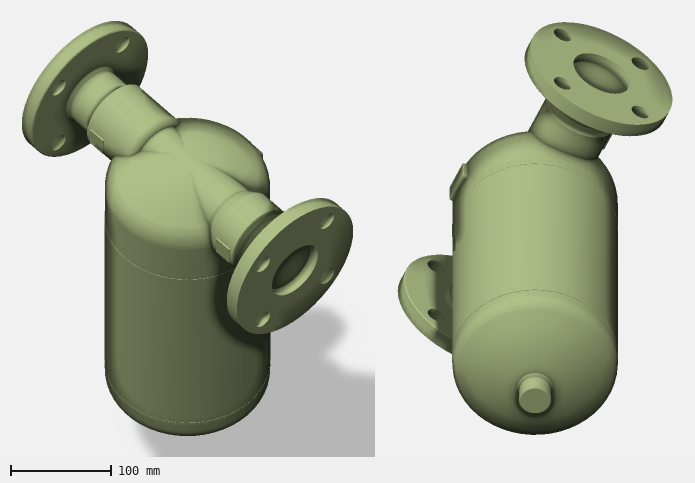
import cadquery as cq
import math

RUN_LENGTH = 324.0
PIPE_D = 60.5
SOCKET_D = 74.0
SOCKET_END = 111.0
SOCKET_BEVEL_LENGTH = 1.5
SOCKET_BEVEL_HEIGHT = 3.0
WELD_LENGTH = 4.0
WELD_HEIGHT = 3.0
INLET_SHOULDER_START = -53.5
INLET_SHOULDER_LENGTH = 9.0
OUTLET_CONE_START = 66.7
OUTLET_CONE_END = 79.7

FLANGE_D = 155.0
FLANGE_THICKNESS = 16.0
FLANGE_CHAMFER = 1.0
FLANGE_BORE_D = 61.1
PIPE_SETBACK = 11.0
BOLT_HOLE_D = 19.0
BOLT_CIRCLE_D = 120.0
BOLT_COUNT = 4
BOLT_START_ANGLE = 45.0

HEAD_D = 165.0
SHELL_D = 165.2
BEAD_D = 165.8
BEAD_WIDTH = 4.0
UPPER_BEAD_TOP = -60.0
LOWER_BEAD_TOP = -280.8
UPPER_CROWN_TOP = PIPE_D / 2
UPPER_CROWN_R = 120.0
UPPER_KNUCKLE_R = 26.0
LOWER_TANGENT_Z = -294.4
LOWER_CROWN_R = 112.0
LOWER_KNUCKLE_R = 19.0

NOZZLE_D = 32.0
NOZZLE_BOTTOM = -360.0
NOZZLE_CHAMFER = 1.0
NOZZLE_WELD = 2.0
NOZZLE_WELD_BOTTOM = -340.2

SOCKET_PAD_SIZE = 20.0
SOCKET_PAD_X = 95.0
SOCKET_PAD_RISE = 0.2
SOCKET_PAD_FACE = SOCKET_D / 2 + SOCKET_PAD_RISE
LABEL_PAD_WIDTH = 34.0
LABEL_PAD_HEIGHT = 22.8
LABEL_PAD_TOP = -14.6
LABEL_PAD_CORNER_R = 2.5
LABEL_PAD_CHAMFER = 0.8
OVERALL_DEPTH = 169.04
LABEL_PAD_FACE = OVERALL_DEPTH - BEAD_D / 2

PIPE_R = PIPE_D / 2
SOCKET_R = SOCKET_D / 2
HEAD_R = HEAD_D / 2


def dished_head(crown_r, knuckle_r):
    """Return the depth of a dished head and its knuckle and crown points as (radius, height).

    Heights are measured from the tangent line, where the knuckle meets the straight wall.
    """
    knuckle_center_r = HEAD_R - knuckle_r
    crown_below = math.sqrt((crown_r - knuckle_r) ** 2 - knuckle_center_r ** 2)
    depth = crown_r - crown_below
    joint_angle = math.atan2(crown_below, knuckle_center_r)

    def on_arc(center_r, center_z, radius, angle):
        return (center_r + radius * math.cos(angle), center_z + radius * math.sin(angle))

    knuckle_mid = on_arc(knuckle_center_r, 0, knuckle_r, joint_angle / 2)
    joint = on_arc(knuckle_center_r, 0, knuckle_r, joint_angle)
    crown_mid = on_arc(0, -crown_below, crown_r, (joint_angle + math.pi / 2) / 2)
    return depth, knuckle_mid, joint, crown_mid


def make_vessel():
    """Shell, both heads and both weld beads as one turned solid."""
    upper_depth, upper_knuckle, upper_joint, upper_crown = dished_head(UPPER_CROWN_R, UPPER_KNUCKLE_R)
    lower_depth, lower_knuckle, lower_joint, lower_crown = dished_head(LOWER_CROWN_R, LOWER_KNUCKLE_R)
    upper_tangent_z = UPPER_CROWN_TOP - upper_depth

    def upper(point):
        return (point[0], upper_tangent_z + point[1])

    def lower(point):
        return (point[0], LOWER_TANGENT_Z - point[1])

    profile = (
        cq.Workplane("XZ")
        .moveTo(0, UPPER_CROWN_TOP)
        .threePointArc(upper(upper_crown), upper(upper_joint))
        .threePointArc(upper(upper_knuckle), (HEAD_R, upper_tangent_z))
        .lineTo(HEAD_R, UPPER_BEAD_TOP)
        .lineTo(BEAD_D / 2, UPPER_BEAD_TOP)
        .lineTo(BEAD_D / 2, UPPER_BEAD_TOP - BEAD_WIDTH)
        .lineTo(SHELL_D / 2, UPPER_BEAD_TOP - BEAD_WIDTH)
        .lineTo(SHELL_D / 2, LOWER_BEAD_TOP)
        .lineTo(BEAD_D / 2, LOWER_BEAD_TOP)
        .lineTo(BEAD_D / 2, LOWER_BEAD_TOP - BEAD_WIDTH)
        .lineTo(HEAD_R, LOWER_BEAD_TOP - BEAD_WIDTH)
        .lineTo(HEAD_R, LOWER_TANGENT_Z)
        .threePointArc(lower(lower_knuckle), lower(lower_joint))
        .threePointArc(lower(lower_crown), (0, LOWER_TANGENT_Z - lower_depth))
        .close()
    )
    return profile.revolve(360, (0, 0, 0), (0, 1, 0))


def make_nozzle():
    """Drain stub below the vessel with its weld ring; it starts inside the lower head."""
    nozzle_r = NOZZLE_D / 2
    weld_r = nozzle_r + NOZZLE_WELD
    profile = (
        cq.Workplane("XZ")
        .moveTo(0, LOWER_TANGENT_Z)
        .lineTo(weld_r, LOWER_TANGENT_Z)
        .lineTo(weld_r, NOZZLE_WELD_BOTTOM + NOZZLE_WELD)
        .lineTo(nozzle_r, NOZZLE_WELD_BOTTOM)
        .lineTo(nozzle_r, NOZZLE_BOTTOM + NOZZLE_CHAMFER)
        .lineTo(nozzle_r - NOZZLE_CHAMFER, NOZZLE_BOTTOM)
        .lineTo(0, NOZZLE_BOTTOM)
        .close()
    )
    return profile.revolve(360, (0, 0, 0), (0, 1, 0))


def make_pipe_run():
    """Pipe, sockets and pipe welds as one solid turned about X."""
    pipe_end = RUN_LENGTH / 2 - PIPE_SETBACK
    flange_back = RUN_LENGTH / 2 - FLANGE_THICKNESS
    weld_r = PIPE_R + WELD_HEIGHT
    bevel_r = SOCKET_R - SOCKET_BEVEL_HEIGHT
    bevel_start = SOCKET_END - SOCKET_BEVEL_LENGTH
    shoulder_end = INLET_SHOULDER_START + INLET_SHOULDER_LENGTH
    shoulder_drop = SOCKET_R - PIPE_R
    shoulder_mid = (
        INLET_SHOULDER_START + INLET_SHOULDER_LENGTH * math.sin(math.pi / 4),
        SOCKET_R - shoulder_drop * (1 - math.cos(math.pi / 4)),
    )
    end_points = [
        (bevel_start, SOCKET_R),
        (SOCKET_END, bevel_r),
        (SOCKET_END, weld_r),
        (SOCKET_END + WELD_LENGTH, PIPE_R),
        (flange_back - WELD_LENGTH, PIPE_R),
        (flange_back, weld_r),
        (flange_back, PIPE_R),
        (pipe_end, PIPE_R),
        (pipe_end, 0),
    ]
    inlet_points = [(-x, r) for x, r in reversed(end_points)]
    profile = (
        cq.Workplane("XY")
        .polyline(inlet_points)
        .lineTo(INLET_SHOULDER_START, SOCKET_R)
        .threePointArc(shoulder_mid, (shoulder_end, PIPE_R))
        .lineTo(OUTLET_CONE_START, PIPE_R)
        .lineTo(OUTLET_CONE_END, SOCKET_R)
    )
    for point in end_points:
        profile = profile.lineTo(*point)
    return profile.close().revolve(360, (0, 0, 0), (1, 0, 0))


def make_flange(side):
    """Bored and drilled flange at the +X end (side = 1) or the -X end (side = -1)."""
    face_x = side * RUN_LENGTH / 2
    flange = (
        cq.Workplane("YZ", origin=(face_x, 0, 0))
        .circle(FLANGE_D / 2)
        .extrude(-side * FLANGE_THICKNESS)
    )
    flange = flange.faces("<X" if side > 0 else ">X").chamfer(FLANGE_CHAMFER)
    bolt_holes = (
        cq.Workplane("YZ", origin=(face_x, 0, 0))
        .polarArray(BOLT_CIRCLE_D / 2, BOLT_START_ANGLE, 360, BOLT_COUNT)
        .circle(BOLT_HOLE_D / 2)
        .extrude(-side * FLANGE_THICKNESS)
    )
    bore = (
        cq.Workplane("YZ", origin=(face_x, 0, 0))
        .circle(FLANGE_BORE_D / 2)
        .extrude(-side * PIPE_SETBACK)
    )
    return flange.cut(bolt_holes).cut(bore)


def make_socket_pad(x):
    """Square pad with a flat face on the -Y side of a socket."""
    return (
        cq.Workplane("XY")
        .box(SOCKET_PAD_SIZE, SOCKET_PAD_FACE, SOCKET_PAD_SIZE)
        .translate((x, -SOCKET_PAD_FACE / 2, 0))
    )


def make_label_pad():
    """Rounded rectangular pad on the +Y side of the upper head."""
    depth = LABEL_PAD_FACE - HEAD_R / 2
    return (
        cq.Workplane("XY")
        .box(LABEL_PAD_WIDTH, depth, LABEL_PAD_HEIGHT)
        .edges("|Y")
        .fillet(LABEL_PAD_CORNER_R)
        .faces(">Y")
        .chamfer(LABEL_PAD_CHAMFER)
        .translate((0, LABEL_PAD_FACE - depth / 2, LABEL_PAD_TOP - LABEL_PAD_HEIGHT / 2))
    )


result = make_vessel().union(make_nozzle()).union(make_label_pad()).union(make_pipe_run())
for side in (-1, 1):
    result = result.union(make_flange(side)).union(make_socket_pad(side * SOCKET_PAD_X))